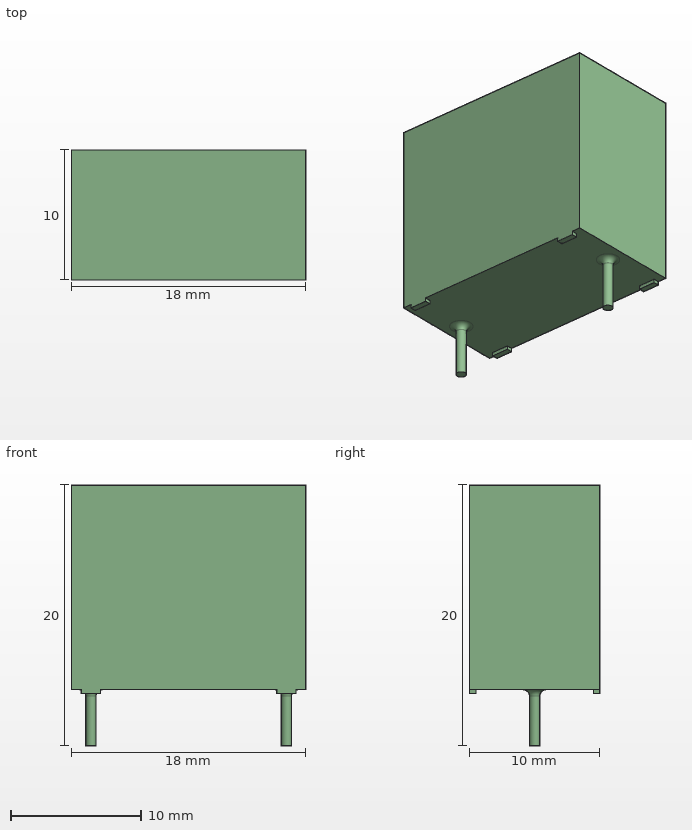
import cadquery as cq

LENGTH = 18.0
WIDTH = 10.0
TOTAL_HEIGHT = 20.0

FOOT_LENGTH = 1.5
FOOT_WIDTH = 0.5
FOOT_HEIGHT = 0.3

LEAD_PITCH = 15.0
LEAD_DIAMETER = 0.8
LEAD_BELOW_SEAT = 4.0
FLARE_RADIUS = 0.5

CASE_HEIGHT = TOTAL_HEIGHT - LEAD_BELOW_SEAT - FOOT_HEIGHT
LEAD_LENGTH = LEAD_BELOW_SEAT + FOOT_HEIGHT
LEAD_RADIUS = LEAD_DIAMETER / 2


def make_case():
    """Plain rectangular case standing on the feet."""
    return (
        cq.Workplane("XY", origin=(0, 0, FOOT_HEIGHT))
        .box(LENGTH, WIDTH, CASE_HEIGHT, centered=(True, True, False))
    )


def make_feet():
    """Four feet flush with the long sides, in line with the leads."""
    foot_spacing_y = WIDTH - FOOT_WIDTH
    return (
        cq.Workplane("XY")
        .rarray(LEAD_PITCH, foot_spacing_y, 2, 2)
        .rect(FOOT_LENGTH, FOOT_WIDTH)
        .extrude(FOOT_HEIGHT)
    )


def make_lead(x):
    """Lead revolved about its own axis, flaring out to meet the case underside."""
    flare_center = (LEAD_RADIUS + FLARE_RADIUS, -FLARE_RADIUS)
    arc_offset = FLARE_RADIUS * 0.5 ** 0.5
    arc_middle = (flare_center[0] - arc_offset, flare_center[1] + arc_offset)
    return (
        cq.Workplane("XZ", origin=(x, 0, FOOT_HEIGHT))
        .moveTo(0, 0)
        .lineTo(0, -LEAD_LENGTH)
        .lineTo(LEAD_RADIUS, -LEAD_LENGTH)
        .lineTo(LEAD_RADIUS, -FLARE_RADIUS)
        .threePointArc(arc_middle, (LEAD_RADIUS + FLARE_RADIUS, 0))
        .close()
        .revolve(360, (0, 0, 0), (0, 1, 0))
    )


result = make_case().union(make_feet())
for side in (-1, 1):
    result = result.union(make_lead(side * LEAD_PITCH / 2))